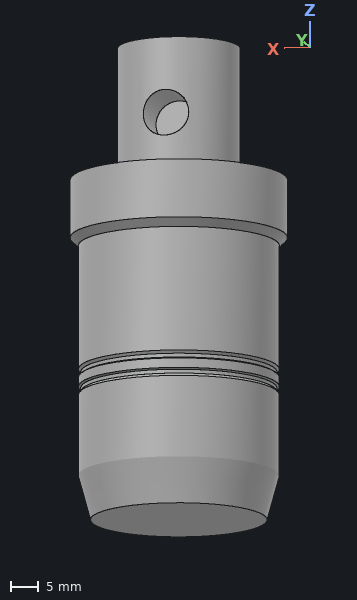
import cadquery as cq

total_height = 86.0
nose_height = 8.0
collar_bottom_z = 50.0
collar_top_z = 62.0

nose_end_radius = 31.65 / 2
body_radius = 36.0 / 2
groove_radius = 35.2 / 2
collar_radius = 39.0 / 2
stem_radius = 22.0 / 2

groove_pair_z = 25.1
land_width = 1.7
groove_width = 1.5
outer_wall_run = 0.5
inner_wall_run = 0.3

cross_hole_diameter = 8.3
cross_hole_z = 72.2


def turned_body():
    """Solid of revolution: tapered nose, body, collar with chamfered underside, and stem."""
    collar_chamfer = collar_radius - body_radius
    return (
        cq.Workplane("XZ")
        .moveTo(0, 0)
        .lineTo(nose_end_radius, 0)
        .lineTo(body_radius, nose_height)
        .lineTo(body_radius, collar_bottom_z)
        .lineTo(collar_radius, collar_bottom_z + collar_chamfer)
        .lineTo(collar_radius, collar_top_z)
        .lineTo(stem_radius, collar_top_z)
        .lineTo(stem_radius, total_height)
        .lineTo(0, total_height)
        .close()
        .revolve(360, (0, 0, 0), (0, 1, 0))
    )


def groove_cutter(side):
    """Ring that cuts one groove above (side = 1) or below (side = -1) the land."""
    inner_z = groove_pair_z + side * land_width / 2
    outer_z = inner_z + side * groove_width
    ring_radius = collar_radius
    return (
        cq.Workplane("XZ")
        .moveTo(ring_radius, inner_z)
        .lineTo(body_radius, inner_z)
        .lineTo(groove_radius, inner_z + side * inner_wall_run)
        .lineTo(groove_radius, outer_z - side * outer_wall_run)
        .lineTo(body_radius, outer_z)
        .lineTo(ring_radius, outer_z)
        .close()
        .revolve(360, (0, 0, 0), (0, 1, 0))
    )


def cross_hole_cutter():
    """Cylinder from the stem axis out through its +Y side."""
    return (
        cq.Workplane("XZ", origin=(0, 0, cross_hole_z))
        .circle(cross_hole_diameter / 2)
        .extrude(-collar_radius)
    )


result = turned_body()
for side in (1, -1):
    result = result.cut(groove_cutter(side))
result = result.cut(cross_hole_cutter())